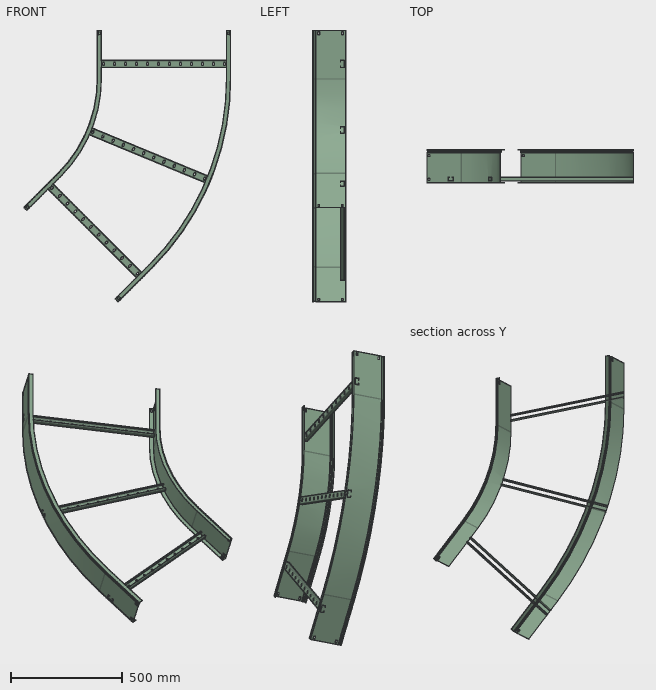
import cadquery as cq
import math

overall_height = 1220.0
bend_angle = 45.0
inner_radius = 598.0
outer_radius = 1199.0

rail_depth = 150.0
flange_width = 20.0
sheet = 1.8
groove_depth = 4.0
groove_mouth = 11.0
groove_floor = 6.0
groove_setback = 10.0

slot_length = 12.0
slot_width = 7.0
web_slot_end_gap = 13.0
web_slot_front_gap = 16.0
web_slot_back_gap = 28.0
flange_slot_end_gap = 13.0
flange_slot_offset = 11.0

rung_width = 34.0
rung_depth = 18.0
rung_front = 7.0
rung_lip = 9.0
rung_bend_radius = 3.0
rung_end_gap = 151.0
rung_slot_count = 12
rung_slot_end_gap = 28.0
rung_slot_length = 13.0
rung_slot_width = 7.0

bend_sine = math.sin(math.radians(bend_angle))
bend_cosine = math.cos(math.radians(bend_angle))
straight_length = (overall_height - outer_radius * bend_sine) / (1 + bend_cosine)
rung_length = outer_radius - inner_radius
mid_radius = (inner_radius + outer_radius) / 2
rung_rise = straight_length - rung_end_gap
rung_slot_pitch = (rung_length - 2 * rung_slot_end_gap) / (rung_slot_count - 1)


def turned(shape, angle):
    """Turn a shape about the bend axis, from the top leg towards the bottom leg."""
    return shape.rotate((0, 0, 0), (0, 1, 0), angle)


def rail_profile(face_radius, inward):
    """Closed channel outline in the XY plane; inward is the X direction of the flanges."""
    groove_centre = rail_depth - groove_setback
    groove = [
        (0, groove_centre - groove_mouth / 2),
        (groove_depth, groove_centre - groove_floor / 2),
        (groove_depth, groove_centre + groove_floor / 2),
        (0, groove_centre + groove_mouth / 2),
    ]
    outside = [(flange_width, 0), (0, 0), *groove, (0, rail_depth), (flange_width, rail_depth)]
    inside = [(flange_width, sheet), (sheet, sheet)]
    inside += [(depth + sheet, y) for depth, y in groove]
    inside += [(sheet, rail_depth - sheet), (flange_width, rail_depth - sheet)]
    outline = outside + inside[::-1]
    points = [(face_radius + inward * depth, y) for depth, y in outline]
    return cq.Workplane("XY").polyline(points).close()


def rail_end_slots(face_radius, inward):
    """Cutters for one rail end, placed at the end of the top leg."""
    end = straight_length
    web_slots = (
        cq.Workplane("YZ", origin=(face_radius, 0, end - web_slot_end_gap))
        .pushPoints([(web_slot_front_gap, 0), (rail_depth - web_slot_back_gap, 0)])
        .rect(slot_width, slot_length)
        .extrude(sheet, both=True)
    )
    flange_x = face_radius + inward * flange_slot_offset
    flange_slot = (
        cq.Workplane("XZ", origin=(flange_x, 0, end - flange_slot_end_gap))
        .rect(slot_width, slot_length)
        .extrude(sheet, both=True)
    )
    return web_slots.add(flange_slot).combine()


def mirrored_to_bottom_leg(shape):
    """Mirror a shape of the top leg in the middle plane of the bend, onto the bottom leg."""
    return turned(shape.mirror("XY"), bend_angle)


def side_rail(face_radius, inward):
    top_leg = rail_profile(face_radius, inward).extrude(straight_length)
    bend = rail_profile(face_radius, inward).revolve(bend_angle, (0, 0, 0), (0, 1, 0))
    rail = top_leg.union(bend).union(mirrored_to_bottom_leg(top_leg))
    slots = rail_end_slots(face_radius, inward)
    return rail.cut(slots).cut(mirrored_to_bottom_leg(slots))


def rung_bar(length):
    """Lipped channel without slots, along X at the start of the bend, centred between the rails."""
    start = mid_radius - length / 2
    outer = (
        cq.Workplane("YZ", origin=(start, rung_front + rung_depth / 2, 0))
        .rect(rung_depth, rung_width)
        .extrude(length)
        .edges("|X")
        .fillet(rung_bend_radius)
    )
    hollow = (
        cq.Workplane("YZ", origin=(start, rung_front + rung_depth / 2, 0))
        .rect(rung_depth - 2 * sheet, rung_width - 2 * sheet)
        .extrude(length)
        .edges("|X")
        .fillet(rung_bend_radius - sheet)
    )
    back_opening = (
        cq.Workplane("YZ", origin=(start, rung_front + rung_depth, 0))
        .rect(2 * sheet, rung_width - 2 * rung_lip)
        .extrude(length)
    )
    return outer.cut(hollow).cut(back_opening)


def rung_slots():
    return (
        cq.Workplane("XZ", origin=(mid_radius, rung_front, 0))
        .rarray(rung_slot_pitch, 12, rung_slot_count, 1)
        .slot2D(rung_slot_length, rung_slot_width, 90)
        .extrude(sheet, both=True)
    )


def placed_rungs(shape):
    """Copies at the top leg, the middle of the bend and the bottom leg."""
    top = shape.translate((0, 0, rung_rise))
    return [top, turned(shape, bend_angle / 2), mirrored_to_bottom_leg(top)]


rungs = placed_rungs(rung_bar(rung_length).cut(rung_slots()))

inner_rail = side_rail(inner_radius, 1)
outer_rail = side_rail(outer_radius, -1)

for opening in placed_rungs(rung_bar(rung_length + 2 * sheet)):
    inner_rail = inner_rail.cut(opening)
    outer_rail = outer_rail.cut(opening)

result = cq.Compound.makeCompound(
    [
        inner_rail.solids().val(),
        outer_rail.solids().val(),
        *[rung.solids().val() for rung in rungs],
    ]
)